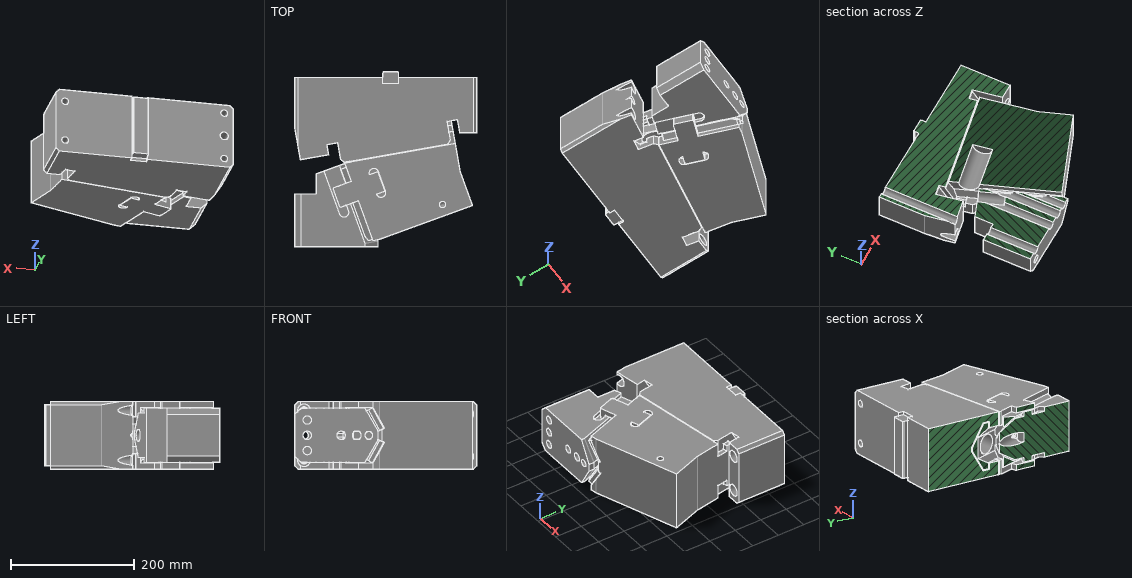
import cadquery as cq
import math

HALF_HEIGHT = 110.0 / 2
GUIDE_ANGLE = 10
FOOT_ANGLE = 20
GUIDE_ORIGIN = (80.2, 136.0)
FOOT_ORIGIN = (34.8, 118.5)
ACROSS = 177
OVERLAP = 3

BLOCK_LENGTH = 295
BLOCK_BACK = 274.5
BLOCK_CHAMFER = 5.5
RIGHT_LUG_Y = 185.0
GUIDE_GAP = 1.03
GUIDE_LENGTH = 170.8
GUIDE_CHAMFER = (5.0, 6.0)
LEFT_LUG_LEFT = -69.3
LEFT_LUG_RIGHT = -22.5
RIGHT_LUG_LEFT = 192.5
LEFT_LUG_BOTTOM = 17.5
LEFT_NOTCH_TOP = 34.0
RIGHT_NOTCH_TOP = 37.2

KEY_X = (142.5, 168.5)
KEY_Y = (265.2, 284.0)
KEY_HALF_HEIGHT = 49.5
KEY_CHAMFER = (1.2, 2.7)

SCREW_RADIUS = 5.5
SCREW_HEAD_RADIUS = 10.3
SCREW_SEAT_Y = 221.2
LEFT_SCREW = (15.0, 40.5)
RIGHT_SCREW = (279.7, 34.5)
DOWEL_RADIUS = 6.8

RAIL_NECK = 29.8
RAIL_HEAD = 40.7
RAIL_NECK_TOP = 20.0
RAIL_SHOULDER = 30.0
RAIL_CLEARANCE = 0.5
CREST_HALF = 3
SPRING_RADIUS = 16.5
SPRING_HEIGHT = 18.3
SPRING_END = 88.5

FOOT_HALF_HEIGHT = 44.0
FOOT_CHAMFER = 10.0
FOOT_SHOULDER_Y = 85.8
V_ANGLE = 30
V_TIP_HALF = 6.8
V_EDGE = 35.7
TOE_EDGE_X = 114.0
HOLE_RADIUS = 6.8
FOOT_HOLES_X = 20.5
BLIND_HOLE_Z = 24.8
BLIND_HOLE_DEPTH = 44.2
V_HOLES = ((75.2, 6.8), (100.5, 7.0), (120.0, 6.2))
END_BORE_A = 40.5
END_BORE_RADIUS = 9.7
END_BORE_DEPTH = 44.2

CLIP_B = (-64.5, -31.0)
CLIP_A = (17.5, 95.0)
CLIP_GAP = 1.0
CLIP_CLAW = 10.0
CLIP_UNDERSIDE = 44.8
CLIP_CORNER = 1.5
SLOT_FLOOR = 36.3
SLOT_RADIUS = 7.7
FOOT_SLOT_A = 21.0
FOOT_SLOT_END = -74.3
FOOT_LEDGE_END = -44.2

SLIDE_END = 49.3
SLIDE_RIGHT_A = 183
SLIDE_RIGHT_FOOT_A = 220.7
SLIDE_BOTTOM = -135.0
CORNER_RELIEF = (10.5, 1.8)
PIN_HOLE = (239.5, 68.7)
PIN_HOLE_RADIUS = 10.3 / 2
PIN_HOLE_DEPTH = 29.5
DRILL_TIP = 0.6

PLATE_LIP = (39.5, 39.2)
PLATE_FOOT_Z = 6
PLATE_B = (-131.0, -6.8)
PLATE_LEAD = (3.5, 8.3)
GROOVE_ROOT = 18.3

TAN_V = math.tan(math.radians(V_ANGLE))
SIN_V = math.sin(math.radians(V_ANGLE))
COS_V = math.cos(math.radians(V_ANGLE))
PLATE_BEVEL = SLIDE_END - PLATE_LIP[0]
PLATE_THICKNESS = PLATE_BEVEL / COS_V


def direction(angle):
    return math.cos(math.radians(angle)), math.sin(math.radians(angle))


def place(origin, angle, a, b):
    """Point at a along and b above a line through origin that slopes by angle."""
    c, s = direction(angle)
    return origin[0] + a * c - b * s, origin[1] + a * s + b * c


def on_guide(a, b):
    return place(GUIDE_ORIGIN, GUIDE_ANGLE, a, b)


def on_foot(a, b):
    return place(FOOT_ORIGIN, FOOT_ANGLE, a, b)


def crossing(p, p_angle, q, q_angle):
    """Where the line through p at p_angle meets the line through q at q_angle."""
    pc, ps = direction(p_angle)
    qc, qs = direction(q_angle)
    dx, dy = q[0] - p[0], q[1] - p[1]
    t = (dx * qs - dy * qc) / (pc * qs - ps * qc)
    return p[0] + t * pc, p[1] + t * ps


def prism(points, half_height):
    return cq.Workplane("XY").polyline(points).close().extrude(half_height, both=True)


def plan_on_foot(z):
    """Horizontal workplane whose axes are A along and B above the foot's sloped face."""
    c, s = direction(FOOT_ANGLE)
    return cq.Workplane(cq.Plane((*FOOT_ORIGIN, z), (c, s, 0), (0, 0, 1)))


def section_on_foot(b):
    """Upright A-Z workplane at b; extrusion runs towards lower b."""
    c, s = direction(FOOT_ANGLE)
    return cq.Workplane(cq.Plane((*on_foot(0, b), 0), (c, s, 0), (s, -c, 0)))


def section_on_guide(a):
    """Upright workplane across the rail at a; extrusion runs along the rail."""
    c, s = direction(GUIDE_ANGLE)
    return cq.Workplane(cq.Plane((*on_guide(a, 0), 0), (-s, c, 0), (c, s, 0)))


def both_sides(body):
    """The upper shape together with its copy mirrored below Z = 0."""
    return body.union(body.mirror("XY"))


def bore_y(x, z, radius, y0, y1):
    return cq.Workplane("XZ", origin=(0, y0, 0)).center(x, z).circle(radius).extrude(y0 - y1)


def mirrored(half):
    """Closed section from its upper half, given as (distance, Z) points from the outside in."""
    return half + [(distance, -z) for distance, z in reversed(half)]


def v_crest(b, z):
    """Height at which a V flank that leaves (b, z) reaches its crest flat."""
    return b + (z - CREST_HALF) * TAN_V


def rail_section(clearance, bottom):
    """T profile with a V crest, grown by clearance on its flanks and shoulders."""
    neck = RAIL_NECK + clearance
    head = RAIL_HEAD + clearance
    neck_top = RAIL_NECK_TOP - clearance
    shoulder = RAIL_SHOULDER + clearance
    half = [
        (bottom, neck),
        (neck_top, neck),
        (neck_top, head),
        (shoulder, head),
        (v_crest(shoulder, head), CREST_HALF),
    ]
    return mirrored(half)


def notch_roof(a0, a1, top):
    """V-shaped deepening of the roof of a notch between a0 and a1."""
    half = [(top - OVERLAP, HALF_HEIGHT), (top, HALF_HEIGHT), (v_crest(top, HALF_HEIGHT), CREST_HALF)]
    return section_on_guide(a0).polyline(mirrored(half)).close().extrude(a1 - a0)


def make_block():
    chamfer_a, chamfer_b = GUIDE_CHAMFER
    left = -chamfer_a
    right = GUIDE_LENGTH + chamfer_a
    lug_corner = on_guide(LEFT_LUG_LEFT, LEFT_LUG_BOTTOM)
    upright = 90 + GUIDE_ANGLE
    outline = [
        (0, BLOCK_BACK),
        crossing(lug_corner, upright, (0, 0), 90),
        lug_corner,
        on_guide(LEFT_LUG_RIGHT, LEFT_LUG_BOTTOM),
        on_guide(LEFT_LUG_RIGHT, LEFT_NOTCH_TOP),
        on_guide(left, LEFT_NOTCH_TOP),
        on_guide(left, GUIDE_GAP + chamfer_b),
        on_guide(0, GUIDE_GAP),
        on_guide(GUIDE_LENGTH, GUIDE_GAP),
        on_guide(right, GUIDE_GAP + chamfer_b),
        on_guide(right, RIGHT_NOTCH_TOP),
        on_guide(RIGHT_LUG_LEFT, RIGHT_NOTCH_TOP),
        crossing(on_guide(RIGHT_LUG_LEFT, 0), upright, (0, RIGHT_LUG_Y), 0),
        (BLOCK_LENGTH, RIGHT_LUG_Y),
        (BLOCK_LENGTH, BLOCK_BACK),
    ]
    block = prism(outline, HALF_HEIGHT)

    envelope = (
        cq.Workplane("XY")
        .box(BLOCK_LENGTH, BLOCK_BACK, 2 * HALF_HEIGHT, centered=(False, False, True))
        .edges("|Y")
        .chamfer(BLOCK_CHAMFER)
    )
    block = block.intersect(envelope)

    slot = rail_section(RAIL_CLEARANCE, 0)
    block = block.cut(section_on_guide(left).polyline(slot).close().extrude(right - left))

    block = block.cut(notch_roof(LEFT_LUG_RIGHT, left, LEFT_NOTCH_TOP))
    block = block.cut(notch_roof(right, RIGHT_LUG_LEFT, RIGHT_NOTCH_TOP))

    for x, z in (LEFT_SCREW, RIGHT_SCREW):
        screw = bore_y(x, z, SCREW_RADIUS, 0, BLOCK_BACK)
        head = bore_y(x, z, SCREW_HEAD_RADIUS, 0, SCREW_SEAT_Y)
        block = block.cut(both_sides(screw.union(head)))
    block = block.cut(bore_y(LEFT_SCREW[0], 0, DOWEL_RADIUS, 0, BLOCK_BACK))

    x0, x1 = KEY_X
    y0, y1 = KEY_Y
    chamfer_x, chamfer_y = KEY_CHAMFER
    slot = cq.Workplane("XY").rect(x1 - x0, y1 - y0).extrude(HALF_HEIGHT, both=True)
    slot = slot.translate(((x0 + x1) / 2, (y0 + y1) / 2, 0))
    key = [
        (x0, y0),
        (x1, y0),
        (x1, y1 - chamfer_y),
        (x1 - chamfer_x, y1),
        (x0 + chamfer_x, y1),
        (x0, y1 - chamfer_y),
    ]
    return block.cut(slot).union(prism(key, KEY_HALF_HEIGHT))


def v_ridge(edge):
    """Profile of a ridge that narrows to the V tip, reaching full height at edge."""
    tip = edge + (FOOT_HALF_HEIGHT - V_TIP_HALF) * TAN_V
    half = [(-ACROSS, FOOT_HALF_HEIGHT), (edge, FOOT_HALF_HEIGHT), (tip, V_TIP_HALF)]
    return mirrored(half)


def make_foot():
    tip_rise = (FOOT_HALF_HEIGHT - V_TIP_HALF) * TAN_V
    toe_x = TOE_EDGE_X + tip_rise
    tip_a = V_EDGE + tip_rise
    outline = [
        (0, 0),
        (toe_x, 0),
        crossing((toe_x, 0), 90, on_foot(tip_a, 0), 90 + FOOT_ANGLE),
        on_foot(tip_a, 0),
        FOOT_ORIGIN,
        (FOOT_ORIGIN[0], FOOT_SHOULDER_Y),
        (0, FOOT_SHOULDER_Y),
    ]
    foot = prism(outline, FOOT_HALF_HEIGHT)

    sloped = section_on_foot(ACROSS).polyline(v_ridge(V_EDGE)).close().extrude(3 * ACROSS)
    straight = (
        cq.Workplane("XZ", origin=(0, ACROSS, 0))
        .polyline(v_ridge(TOE_EDGE_X))
        .close()
        .extrude(2 * ACROSS)
    )
    foot = foot.intersect(sloped).intersect(straight)
    foot = foot.edges("|Y").edges("<X").chamfer(FOOT_CHAMFER)

    slot_height = FOOT_HALF_HEIGHT - SLOT_FLOOR
    slot_end = plan_on_foot(SLOT_FLOOR).center(FOOT_SLOT_A, FOOT_SLOT_END)
    slot_end = slot_end.circle(SLOT_RADIUS).extrude(slot_height)
    slot_left = FOOT_SLOT_A - SLOT_RADIUS
    slot_right = FOOT_SLOT_A + SLOT_RADIUS
    channel = plan_on_foot(SLOT_FLOOR).moveTo(slot_left, FOOT_SLOT_END)
    channel = channel.lineTo(slot_left, OVERLAP).lineTo(tip_a, OVERLAP).lineTo(tip_a, FOOT_LEDGE_END)
    channel = channel.lineTo(slot_right, FOOT_LEDGE_END)
    channel = channel.lineTo(slot_right, FOOT_SLOT_END).close().extrude(slot_height)
    foot = foot.cut(both_sides(slot_end.union(channel)))

    for z in (-BLIND_HOLE_Z, BLIND_HOLE_Z):
        foot = foot.cut(bore_y(FOOT_HOLES_X, z, HOLE_RADIUS, 0, BLIND_HOLE_DEPTH))
    for x, radius in ((FOOT_HOLES_X, HOLE_RADIUS), *V_HOLES):
        foot = foot.cut(bore_y(x, 0, radius, 0, ACROSS))

    bore = section_on_foot(0).center(END_BORE_A, 0).circle(END_BORE_RADIUS).extrude(END_BORE_DEPTH)
    return foot.cut(bore)


def down_the_flank(outline):
    """Bar along the upper V flank; its outline is (depth, distance towards lower b)."""
    c, s = direction(FOOT_ANGLE)
    lip_a, lip_z = PLATE_LIP
    across = (COS_V * c, COS_V * s, SIN_V)
    down = (SIN_V * c, SIN_V * s, -COS_V)
    plane = cq.Plane((*on_foot(lip_a, 0), lip_z), across, down)
    return cq.Workplane(plane).polyline(outline).close().extrude((lip_z - PLATE_FOOT_Z) / COS_V)


def make_plate_seat():
    """Channel for the upper wear plate, open at the lower end of the slide."""
    top = -PLATE_B[1]
    return down_the_flank([(0, top), (0, ACROSS), (PLATE_THICKNESS, ACROSS), (PLATE_THICKNESS, top)])


def make_wear_plate():
    """Upper wear plate with a lead-in at its lower end."""
    lead_depth, lead_length = PLATE_LEAD
    bottom, top = -PLATE_B[0], -PLATE_B[1]
    return down_the_flank(
        [
            (0, top),
            (0, bottom - lead_length),
            (lead_depth, bottom),
            (PLATE_THICKNESS, bottom),
            (PLATE_THICKNESS, top),
        ]
    )


def make_clip():
    """Upper clip: a bridge with a claw in the foot and one in the slide."""
    a0, a1 = CLIP_A
    b0, b1 = CLIP_B
    inner = a1 - 2 * SLOT_RADIUS
    profile = [
        (a0, SLOT_FLOOR),
        (a0 + CLIP_CLAW, SLOT_FLOOR),
        (a0 + CLIP_CLAW, CLIP_UNDERSIDE),
        (inner, CLIP_UNDERSIDE),
        (inner, SLOT_FLOOR),
        (a1, SLOT_FLOOR),
        (a1, HALF_HEIGHT),
        (a0, HALF_HEIGHT),
    ]
    clip = section_on_foot(b1).polyline(profile).close().extrude(b1 - b0)
    cornered = (
        plan_on_foot(0)
        .center(a0 + ACROSS / 2, (b0 + b1) / 2)
        .rect(ACROSS, b1 - b0)
        .extrude(HALF_HEIGHT)
        .edges("|Z")
        .chamfer(CLIP_CORNER)
    )
    return clip.intersect(cornered)


def make_slide():
    relief_a, relief_b = CORNER_RELIEF
    outline = [
        crossing(on_foot(SLIDE_END, 0), 90 + FOOT_ANGLE, GUIDE_ORIGIN, GUIDE_ANGLE),
        on_foot(SLIDE_END, SLIDE_BOTTOM + relief_b),
        on_foot(SLIDE_END + relief_a, SLIDE_BOTTOM),
        on_foot(SLIDE_RIGHT_FOOT_A, SLIDE_BOTTOM),
        crossing(
            on_foot(SLIDE_RIGHT_FOOT_A, 0), 90 + FOOT_ANGLE, on_guide(SLIDE_RIGHT_A, 0), 90 + GUIDE_ANGLE
        ),
        on_guide(SLIDE_RIGHT_A, 0),
    ]
    slide = prism(outline, HALF_HEIGHT)

    rail = rail_section(0, -OVERLAP)
    slide = slide.union(section_on_guide(0).polyline(rail).close().extrude(SLIDE_RIGHT_A))

    seat_z = PLATE_LIP[1] + PLATE_BEVEL * TAN_V

    def flank(z):
        return SLIDE_END + (seat_z - z) * TAN_V, z

    root = flank(GROOVE_ROOT)
    plated = [(0, seat_z), flank(seat_z), root]
    mouth = [(0, RAIL_NECK), flank(RAIL_NECK), root]
    for half, b0, b1 in ((plated, -ACROSS, PLATE_B[1]), (mouth, PLATE_B[1], ACROSS)):
        slide = slide.cut(section_on_foot(b1).polyline(mirrored(half)).close().extrude(b1 - b0))
    slide = slide.cut(both_sides(make_plate_seat())).union(both_sides(make_wear_plate()))

    b0, b1 = CLIP_B
    slot = (
        plan_on_foot(SLOT_FLOOR)
        .center(CLIP_A[1] + CLIP_GAP - SLOT_RADIUS, (b0 + b1) / 2)
        .slot2D(b1 - b0 + 2 * SLOT_RADIUS, 2 * SLOT_RADIUS, 90)
        .extrude(HALF_HEIGHT - SLOT_FLOOR)
    )
    slide = slide.cut(both_sides(slot)).union(both_sides(make_clip()))

    pin_profile = [
        (0, HALF_HEIGHT),
        (PIN_HOLE_RADIUS, HALF_HEIGHT),
        (PIN_HOLE_RADIUS, HALF_HEIGHT - PIN_HOLE_DEPTH),
        (0, HALF_HEIGHT - PIN_HOLE_DEPTH - PIN_HOLE_RADIUS * DRILL_TIP),
    ]
    pin_hole = cq.Workplane("XZ", origin=(*PIN_HOLE, 0)).polyline(pin_profile).close().revolve()
    spring = section_on_guide(0).center(SPRING_HEIGHT, 0).circle(SPRING_RADIUS).extrude(SPRING_END)
    return slide.cut(pin_hole).cut(spring)


block = make_block()
foot = make_foot()
slide = make_slide()
result = cq.Compound.makeCompound([*block.solids().vals(), *foot.solids().vals(), *slide.solids().vals()])